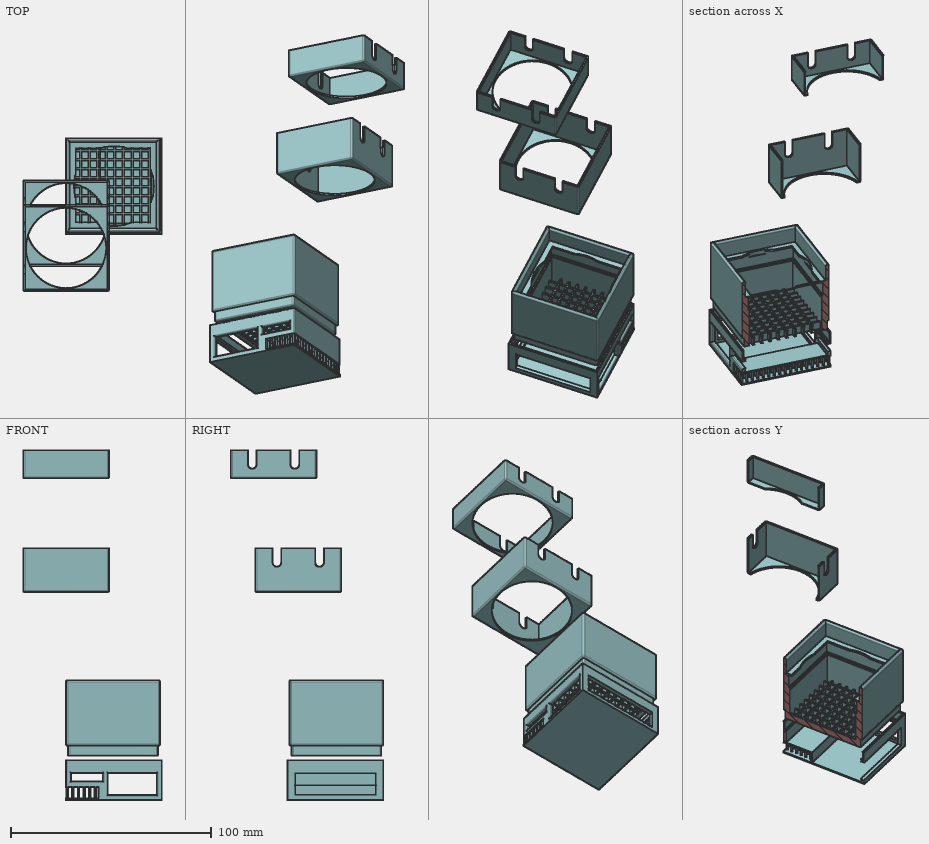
import cadquery as cq
BASE_SIDE = 48.0
BASE_HEIGHT = 20.0
WALL = 1.0
BASE_CORNER_RADIUS = WALL / 2
LOWER_WALL = 2 * WALL
LIP_HEIGHT = 5.0
VENT_HEIGHT = 5.5
VENT_WIDTH = 16.3
POST_DIAMETER = 1.0
SIDE_POST_COUNT = 17
END_POST_COUNT = 6
END_POST_PITCH = 2.8
FIRST_END_POST = 0.7
WINDOW_ROUND = 0.5
WINDOW_TOP = 13.5
SMALL_WINDOW_LEFT = 2.6
SMALL_WINDOW_RIGHT = 18.4
SMALL_WINDOW_BOTTOM = 9.5
LARGE_WINDOW_LEFT = 21.0
LARGE_WINDOW_RIGHT = 45.3
LARGE_WINDOW_BOTTOM = 2.6
SIDE_WINDOW_MARGIN = 3.8

TOWER_SIDE = 47.0
TOWER_BOTTOM = 22.0
TOWER_TOP = 60.0
TOWER_WALL = 2.01
TOWER_ROUND = 0.96
FOOT_ROUND = 0.7
FOOT_INSET = 1.0
FOOT_HEIGHT = 5.0
LEDGE_DEPTH = 9.0
LEDGE_THICKNESS = 1.0
FAN_DIAMETER = 40.0
SQUARE_OPENING = 37.0
FAN_CAVITY_SIDE = FAN_DIAMETER
SHELF_OPENING = 38.1
LOWER_CAVITY_SIDE = 39.0
FAN_CAVITY_HEIGHT = 7.2
FAN_RECESS_DEPTH = 2.5

GRILLE_HEIGHT = 4.2
BAR_WIDTH = 1.0
X_BAR_COUNT = 9
FIRST_BAR_X = 7.3
LAST_BAR_X = 41.6
Y_BAR_COUNT = 8
FIRST_BAR_Y = 10.1
LAST_BAR_Y = 41.6

TRAY_SIDE = 43.0
TRAY_X = -21.42
TRAY_ROUND = 0.9
SLOT_OFFSET = 10.7
SLOT_CENTER_DEPTH = 7.2
SLOT_DIAMETER = 4.2
WIDE_SLOT_DIAMETER = 4.5
LOW_TRAY_Y = -16.1
LOW_TRAY_Z = 103.9
LOW_TRAY_HEIGHT = 22.0
HIGH_TRAY_Y = -28.42
HIGH_TRAY_Z = 160.7
HIGH_TRAY_HEIGHT = 14.2


def block(x0, x1, y0, y1, z0, z1):
    """Box between two opposite corners."""
    return cq.Workplane("XY").box(x1 - x0, y1 - y0, z1 - z0, centered=False).translate((x0, y0, z0))


def square_block(center_x, center_y, side, z0, z1):
    """Square upright box about a vertical axis."""
    half = side / 2
    return block(center_x - half, center_x + half, center_y - half, center_y + half, z0, z1)


def evenly_spaced(first, last, count):
    pitch = (last - first) / (count - 1)
    return [first + i * pitch for i in range(count)]


def upright_cylinder(x, y, diameter, z0, z1):
    return cq.Workplane("XY", origin=(x, y, z0)).circle(diameter / 2).extrude(z1 - z0)


def cut_rounded_windows(body, left, right, bottom):
    """Cut one window through the -Y and +Y walls and round its outer rims."""
    body = body.cut(block(left, right, -1.7, BASE_SIDE + 1.7, bottom, WINDOW_TOP))
    for y in (0, BASE_SIDE):
        rim = cq.selectors.BoxSelector((left - 0.2, y - 0.2, bottom - 0.2),
                                       (right + 0.2, y + 0.2, WINDOW_TOP + 0.2))
        body = body.edges(rim).fillet(WINDOW_ROUND)
    return body


def make_base():
    vent_top = WALL + VENT_HEIGHT

    walls = block(0, BASE_SIDE, 0, BASE_SIDE, WALL, BASE_HEIGHT)
    walls = walls.edges("|Z and <X").fillet(BASE_CORNER_RADIUS)
    center = BASE_SIDE / 2
    walls = walls.cut(square_block(center, center, BASE_SIDE - 2 * LOWER_WALL, 0, BASE_HEIGHT))
    walls = walls.cut(square_block(center, center, BASE_SIDE - 2 * WALL, BASE_HEIGHT - LIP_HEIGHT, BASE_HEIGHT + 1.7))
    walls = cut_rounded_windows(walls, SMALL_WINDOW_LEFT, SMALL_WINDOW_RIGHT, SMALL_WINDOW_BOTTOM)
    walls = cut_rounded_windows(walls, LARGE_WINDOW_LEFT, LARGE_WINDOW_RIGHT, LARGE_WINDOW_BOTTOM)
    walls = walls.cut(block(BASE_SIDE - 2 * LOWER_WALL, BASE_SIDE + 1.7, SIDE_WINDOW_MARGIN,
                            BASE_SIDE - SIDE_WINDOW_MARGIN, LARGE_WINDOW_BOTTOM, WINDOW_TOP))

    walls = walls.cut(block(-1.7, VENT_WIDTH, -1.7, BASE_SIDE + 1.7, 0, vent_top))

    floor = block(0, BASE_SIDE, 0, BASE_SIDE, 0, WALL)
    partition = block(VENT_WIDTH, VENT_WIDTH + WALL, WALL / 2, BASE_SIDE - WALL / 2, WALL / 2, vent_top + WALL)
    roof = block(WALL / 2, VENT_WIDTH + WALL, WALL / 2, BASE_SIDE - WALL / 2, vent_top, vent_top + WALL)
    base = walls.union(floor).union(partition).union(roof)

    near = POST_DIAMETER / 2
    far = BASE_SIDE - near
    last_x = FIRST_END_POST + (END_POST_COUNT - 1) * END_POST_PITCH
    for x in evenly_spaced(FIRST_END_POST, last_x, END_POST_COUNT):
        for y in evenly_spaced(near, far, SIDE_POST_COUNT):
            post = upright_cylinder(x, y, POST_DIAMETER, WALL / 2, vent_top + WALL / 2)
            base = base.union(post)
    return base


def make_tower():
    x1 = TOWER_SIDE
    y0 = BASE_SIDE - TOWER_SIDE
    center_x = TOWER_SIDE / 2
    center_y = y0 + TOWER_SIDE / 2
    shoulder = TOWER_BOTTOM + FOOT_HEIGHT
    ledge = TOWER_TOP - LEDGE_DEPTH
    cavity_top = ledge - LEDGE_THICKNESS
    grille_top = TOWER_BOTTOM + GRILLE_HEIGHT

    housing = block(0, x1, y0, BASE_SIDE, shoulder, TOWER_TOP).edges().fillet(TOWER_ROUND)
    foot_side = TOWER_SIDE - 2 * FOOT_INSET
    foot = square_block(center_x, center_y, foot_side, TOWER_BOTTOM, shoulder + 2 * TOWER_ROUND)
    foot = foot.edges("|Z").fillet(TOWER_ROUND).edges("<Z").fillet(FOOT_ROUND)
    tower = housing.union(foot)

    pocket_side = TOWER_SIDE - 2 * TOWER_WALL
    tower = tower.cut(square_block(center_x, center_y, pocket_side, ledge, TOWER_TOP + 1.7))
    tower = tower.edges(cq.selectors.BoxSelector(
        (TOWER_WALL - 0.2, y0 + TOWER_WALL - 0.2, TOWER_TOP - 0.2),
        (x1 - TOWER_WALL + 0.2, BASE_SIDE - TOWER_WALL + 0.2, TOWER_TOP + 0.2))).fillet(TOWER_ROUND)

    tower = tower.cut(square_block(center_x, center_y, SQUARE_OPENING, cavity_top - 1.7, ledge + 1.7))
    tower = tower.cut(square_block(center_x, center_y, SHELF_OPENING, TOWER_BOTTOM - 1.7, cavity_top))
    tower = tower.cut(square_block(center_x, center_y, FAN_CAVITY_SIDE,
                                   cavity_top - FAN_CAVITY_HEIGHT, cavity_top))
    tower = tower.cut(square_block(center_x, center_y, LOWER_CAVITY_SIDE, TOWER_BOTTOM - 1.7,
                                   cavity_top - FAN_CAVITY_HEIGHT - LEDGE_THICKNESS))
    tower = tower.cut(upright_cylinder(BASE_SIDE / 2, BASE_SIDE / 2, FAN_DIAMETER,
                                       ledge - FAN_RECESS_DEPTH, ledge + 1.7))

    reach = LOWER_CAVITY_SIDE / 2 + WALL
    half_bar = BAR_WIDTH / 2
    for x in evenly_spaced(FIRST_BAR_X, LAST_BAR_X, X_BAR_COUNT):
        tower = tower.union(block(x - half_bar, x + half_bar, center_y - reach, center_y + reach,
                                  TOWER_BOTTOM, grille_top))
    for y in evenly_spaced(FIRST_BAR_Y, LAST_BAR_Y, Y_BAR_COUNT):
        tower = tower.union(block(center_x - reach, center_x + reach, y - half_bar, y + half_bar,
                                  TOWER_BOTTOM, grille_top))
    return tower


def tray_slot(x, y, top, diameter):
    """Cutter for a round-ended slot open at the top, centred on one wall."""
    center_z = top - SLOT_CENTER_DEPTH
    round_end = cq.Workplane("YZ", origin=(x - WALL, y, center_z)).circle(diameter / 2).extrude(3 * WALL)
    straight = block(x - WALL, x + 2 * WALL, y - diameter / 2, y + diameter / 2, center_z, top + 1.7)
    return round_end.union(straight)


def make_tray(y0, z0, height):
    """Open tray with a round hole in the floor and two slots in each X wall."""
    x1 = TRAY_X + TRAY_SIDE
    y1 = y0 + TRAY_SIDE
    top = z0 + height
    center_x = TRAY_X + TRAY_SIDE / 2
    center_y = y0 + TRAY_SIDE / 2
    tray = block(TRAY_X, x1, y0, y1, z0, top).edges("|Z or <Z").fillet(TRAY_ROUND)
    tray = tray.cut(square_block(center_x, center_y, TRAY_SIDE - 2 * WALL, z0 + WALL, top + 1.7))
    tray = tray.cut(upright_cylinder(center_x, center_y, FAN_DIAMETER, z0 - 1.7, z0 + 2 * WALL))
    near_wall = TRAY_X
    far_wall = x1 - WALL
    wide_slot_y = center_y + SLOT_OFFSET - (WIDE_SLOT_DIAMETER - SLOT_DIAMETER) / 2
    tray = tray.cut(tray_slot(near_wall, wide_slot_y, top, WIDE_SLOT_DIAMETER))
    tray = tray.cut(tray_slot(near_wall, center_y - SLOT_OFFSET, top, SLOT_DIAMETER))
    for side in (-1, 1):
        tray = tray.cut(tray_slot(far_wall, center_y + side * SLOT_OFFSET, top, SLOT_DIAMETER))
    return tray


base = make_base()
tower = make_tower()
low_tray = make_tray(LOW_TRAY_Y, LOW_TRAY_Z, LOW_TRAY_HEIGHT)
high_tray = make_tray(HIGH_TRAY_Y, HIGH_TRAY_Z, HIGH_TRAY_HEIGHT)

result = cq.Compound.makeCompound([base.val(), tower.val(), low_tray.val(), high_tray.val()])